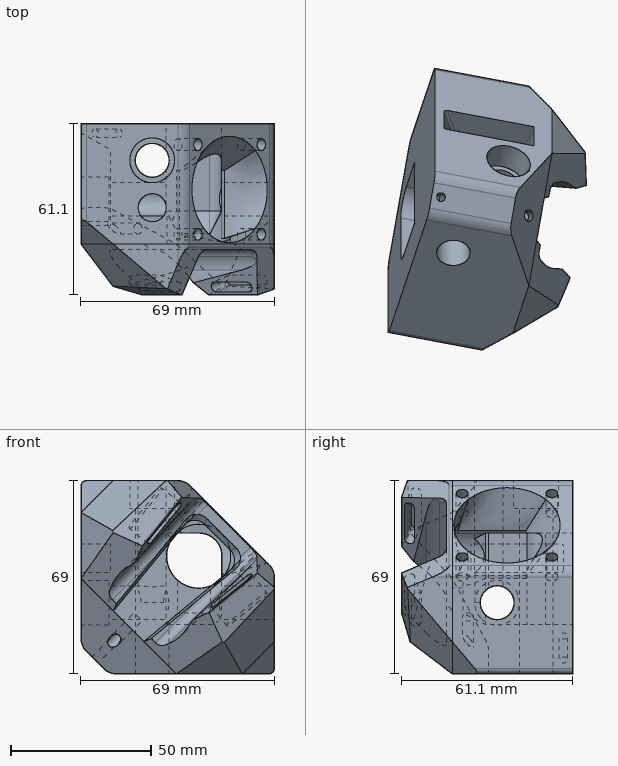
import cadquery as cq
import math

ROOT2 = math.sqrt(2)
FAR = 200.0

SIDE = 69.0
DEPTH = 61.08
SPLIT = 43.0
LOWER_CHAMFER = 10.0
UPPER_CHAMFER = 32.0
CHAMFER_ROUND = 6.0
CORNER_ROUND = 2.0
UPPER_U = (2 * SIDE - UPPER_CHAMFER) / ROOT2
LOWER_U = LOWER_CHAMFER / ROOT2

SLANT_START = 30.0
SLANT_SUM = 34.0
SIDE_LEAN = 37.2
FLANK_ANGLE = 50.0
FLANK_V = 40.7
JAW_RIDGE_U = 44.05
JAW_RIDGE_V = 27.93
JAW_RIDGE_D = 58.0
NOSE_END_START = 44.1
SLANT_U = SLANT_SUM / ROOT2
SLANT_RUN = (SLANT_U - LOWER_U) / (SPLIT - SLANT_START)
TIP_U = LOWER_U + SLANT_RUN * (DEPTH - SLANT_START)
TIP_V = 16.7
TIP_FLAT = 0.4

JAW_END_U = 70.0
JAW_TAPER = 0.104
JAW_DRAFT = 0.346
JAW_END_V = TIP_V + JAW_TAPER * (JAW_END_U - TIP_U)
FLOOR_D = 45.0
FLOOR_V = 10.8
JAW_ROOT_ROUND = 4.0
GAP_LENGTH = 100.0
GAP_OVERRUN = 1.0
GROOVE_ROOT = (13.1, 45.6)
GROOVE_WALL = (14.5, 47.5)
GROOVE_BULGE = (15.4, 49.8)
GROOVE_WIDEST = (15.5, 52.3)
GROOVE_LIP = (14.4, 58.0)

WINDOW_LOW_U = 24.0
WINDOW_LOW_V = 7.7
WINDOW_HIGH_U = 59.4
WINDOW_HIGH_V = 11.1
WINDOW_END_U = 68.9
WINDOW_ROUND = 5.0
WINDOW_SIDE_FLARE = 0.8
WINDOW_END_FLARE = 2.0

OUTLET_LENGTH = 18.5
OUTLET_WIDTH = 3.7
OUTLET_DEPTH = 9.0
OUTLET_LEAD = 2.0
OUTLET_ANGLE = 16.0
OUTLET_U = 59.0
OUTLET_D = 58.3

ROD_DIAMETER = 12.0
BEARING_DIAMETER = 16.0
BEARING_DEPTH = 10.0
ROD_OFFSET = 25.4
X_ROD_D = 27.0
Z_ROD_D = 13.1
ACCESS_DIAMETER = 10.0
ACCESS_D = 30.0

HOTEND_AXIS = 42.0
HOTEND_DIAMETER = 22.8
CAVITY_LEFT = 30.4
CAVITY_FLOOR = 17.6
CAVITY_LIMIT = 50.2
CAVITY_DEPTH = 31.2
CAVITY_TOP_ROUND = 8.0
CAVITY_LOW_ROUND = 4.4
CAVITY_TAPER = 27.0
CAVITY_TAPER_DEPTH = 8.0

SLOT_LOW = 36.2
SLOT_HIGH = 46.4
SLOT_BACK_OUTER = 3.3
SLOT_BACK_INNER = 9.3
SLOT_FRONT = 36.4
SLOT_LENGTH = 10.5
SLOT_FRONT_ROUND = 0.5
SLOT_BACK_ROUND = 1.0

FAN_D = 23.5
FAN_DIAMETER = 38.0
FAN_PITCH = 32.0
FAN_HOLE = 4.2
FAN_HOLE_DEPTH = 10.0
DUCT_END_U = 61.0
DUCT_BACK = 16.7
DUCT_FRONT = 41.0

BACK_SCREW = 3.1
BACK_SCREW_D = 3.4
SLANT_SCREW = 4.0
SLANT_SCREW_D = 37.4
SCREW_DEPTH = 12.0


def place(u, v, d):
    return cq.Vector((u - v) / ROOT2, -d, (u + v) / ROOT2)


def front_plane(d):
    """Plane at depth d, facing forward, with u and v as its axes."""
    return cq.Plane(origin=(0, -d, 0), xDir=(1, 0, 1), normal=(0, -1, 0))


def diagonal_plane(u, d):
    """Plane across the diagonal at u, facing up it, with -Y and v as its axes."""
    return cq.Plane(origin=place(u, 0, d).toTuple(), xDir=(0, -1, 0), normal=(1, 0, 1))


def trim(body, points):
    """Remove what lies outside the plane through three (u, v, d) points."""
    first, second, third = [place(*p) for p in points]
    normal = (second - first).cross(third - first)
    middle = place(UPPER_U / 2, 0, SPLIT / 2)
    if normal.dot(middle - first) > 0:
        normal = normal * -1
    outside = cq.Workplane(cq.Plane(origin=first.toTuple(), normal=normal.toTuple()))
    return body.cut(outside.rect(2 * FAR, 2 * FAR).extrude(FAR))


def trim_both(body, points):
    body = trim(body, points)
    return trim(body, [(u, -v, d) for u, v, d in points])


def outer_block():
    block = cq.Workplane("XZ").rect(SIDE, SIDE, centered=False).extrude(DEPTH)
    block = block.edges("|Y and >X and >Z").chamfer(UPPER_CHAMFER)
    block = block.edges("|Y and <X and <Z").chamfer(LOWER_CHAMFER)
    block = block.faces(">(1,0,1)").edges("|Y").fillet(CHAMFER_ROUND)
    block = block.faces("<(1,0,1)").edges("|Y").fillet(CHAMFER_ROUND)
    block = block.edges("|Y and <X and >Z").fillet(CORNER_ROUND)
    return block.edges("|Y and >X and <Z").fillet(CORNER_ROUND)


def faceted_block():
    """Outer block with the slant, flanks, leaning sides, jaw fronts and nose end cut away."""
    slant = [(LOWER_U, 0, SLANT_START), (LOWER_U, 1, SLANT_START), (SLANT_U, 0, SPLIT)]
    flank_rise = math.tan(math.radians(FLANK_ANGLE))
    flank = [(0, FLANK_V, SPLIT), (1, FLANK_V, SPLIT), (0, FLANK_V - 1, SPLIT + flank_rise)]
    lean_rise = math.tan(math.radians(90 - SIDE_LEAN))
    leaning_side = [(0, 0, SPLIT), (1, 1, SPLIT), (1 / ROOT2, -1 / ROOT2, SPLIT + lean_rise)]
    jaw_front = [
        (TIP_U, TIP_V + TIP_FLAT, DEPTH),
        (JAW_END_U, JAW_END_V + TIP_FLAT, DEPTH),
        (JAW_RIDGE_U, JAW_RIDGE_V, JAW_RIDGE_D),
    ]
    nose_end = [(UPPER_U, 0, NOSE_END_START), (UPPER_U, 1, NOSE_END_START), (JAW_END_U, 0, DEPTH)]

    block = trim(outer_block(), slant)
    block = trim_both(block, flank)
    block = trim_both(block, leaning_side)
    block = trim_both(block, jaw_front)
    return trim(block, nose_end)


def jaw_wall_v(u, d):
    return JAW_END_V + JAW_TAPER * (u - JAW_END_U) - JAW_DRAFT * (DEPTH - d)


def jaw_gap():
    """Tapered opening between the jaw walls, rounded where each wall meets the floor."""
    def section(d):
        low_v = jaw_wall_v(0, d)
        high_v = jaw_wall_v(GAP_LENGTH, d)
        return [(0, low_v), (0, -low_v), (GAP_LENGTH, -high_v), (GAP_LENGTH, high_v)]
    front = DEPTH + GAP_OVERRUN
    gap = (
        cq.Workplane(front_plane(FLOOR_D)).polyline(section(FLOOR_D)).close()
        .workplane(offset=front - FLOOR_D).polyline(section(front)).close()
        .loft(ruled=True)
    )
    return gap.faces(">Y").edges("not(#(1,0,1))").fillet(JAW_ROOT_ROUND)


def mirrored(point):
    return (-point[0], point[1])


def groove():
    """Round-rooted groove of constant section along the diagonal, undercutting the low jaw walls."""
    across = cq.Plane(origin=(0, 0, 0), xDir=(-1, 0, 1), normal=(1, 0, 1))
    return (
        cq.Workplane(across)
        .moveTo(-FLOOR_V, FLOOR_D).lineTo(FLOOR_V, FLOOR_D)
        .threePointArc(GROOVE_ROOT, GROOVE_WALL)
        .threePointArc(GROOVE_BULGE, GROOVE_WIDEST)
        .lineTo(*GROOVE_LIP).lineTo(*mirrored(GROOVE_LIP)).lineTo(*mirrored(GROOVE_WIDEST))
        .threePointArc(mirrored(GROOVE_BULGE), mirrored(GROOVE_WALL))
        .threePointArc(mirrored(GROOVE_ROOT), (-FLOOR_V, FLOOR_D))
        .close().extrude(FAR)
    )


def window_outline(side_flare, end_flare, corner_round):
    """Keyhole outline, widening up the diagonal, grown at its sides and upper end by the flares."""
    widening = (WINDOW_HIGH_V - WINDOW_LOW_V) / (WINDOW_HIGH_U - WINDOW_LOW_U)
    low_v = WINDOW_LOW_V - widening * WINDOW_LOW_U + side_flare
    end_u = WINDOW_END_U + end_flare
    end_v = low_v + widening * end_u
    corners = [(0, low_v), (0, -low_v), (end_u, -end_v), (end_u, end_v), (0, low_v)]
    return cq.Sketch().polygon(corners).vertices(">X").fillet(corner_round)


def window():
    """Opening through the nose floor, flaring forward."""
    joint_outline = window_outline(0, 0, WINDOW_ROUND)
    floor_outline = window_outline(WINDOW_SIDE_FLARE, WINDOW_END_FLARE, WINDOW_ROUND)
    return (
        cq.Workplane(front_plane(SPLIT))
        .placeSketch(joint_outline, floor_outline.moved(cq.Location(cq.Vector(0, 0, FLOOR_D - SPLIT))))
        .loft()
    )


def outlets():
    """Rounded blind outlet in each jaw wall, slanting backward into the jaw."""
    wall_v = jaw_wall_v(OUTLET_U, OUTLET_D)
    back = math.tan(math.radians(OUTLET_ANGLE))
    cutters = []
    for side in (1, -1):
        mouth = cq.Plane(
            origin=place(OUTLET_U, side * wall_v, OUTLET_D).toTuple(),
            xDir=place(1, side * JAW_TAPER, 0).toTuple(),
            normal=place(-JAW_TAPER, side, -back).toTuple(),
        )
        start = cq.Workplane(mouth).workplane(offset=-OUTLET_LEAD)
        slot = start.slot2D(OUTLET_LENGTH, OUTLET_WIDTH)
        cutters.append(slot.extrude(OUTLET_LEAD + OUTLET_DEPTH))
    return cutters


def nose(block):
    body = block.intersect(cq.Workplane("XZ", origin=(0, -SPLIT, 0)).rect(FAR, FAR).extrude(FAR))
    body = body.cut(jaw_gap()).cut(groove()).cut(window())
    for outlet in outlets():
        body = body.cut(outlet)
    return body


def rod_bores():
    """Crossing rod bores, each with a bearing counterbore, and the access hole above the X rod."""
    x_face = cq.Workplane("YZ", origin=(0, -X_ROD_D, ROD_OFFSET))
    z_face = cq.Workplane("XY", origin=(ROD_OFFSET, -Z_ROD_D, SIDE))
    access_face = cq.Workplane("XY", origin=(ROD_OFFSET, -ACCESS_D, SIDE))
    return (
        x_face.circle(ROD_DIAMETER / 2).extrude(SIDE)
        .union(x_face.circle(BEARING_DIAMETER / 2).extrude(BEARING_DEPTH))
        .union(z_face.circle(ROD_DIAMETER / 2).extrude(-SIDE))
        .union(z_face.circle(BEARING_DIAMETER / 2).extrude(-BEARING_DEPTH))
        .union(access_face.circle(ACCESS_DIAMETER / 2).extrude(ROD_OFFSET - SIDE))
    )


def hot_end_cavity():
    """Rounded pocket from the back, narrowing ahead of CAVITY_DEPTH, and the round hole to the front."""
    outline = (
        cq.Sketch()
        .polygon([
            (CAVITY_LEFT, CAVITY_FLOOR), (CAVITY_LIMIT, CAVITY_FLOOR), (CAVITY_LIMIT, CAVITY_LIMIT),
            (CAVITY_LEFT, CAVITY_LIMIT), (CAVITY_LEFT, CAVITY_FLOOR),
        ])
        .vertices(">X and >Y").fillet(CAVITY_TOP_ROUND)
        .reset().vertices(">X").vertices("<Y").fillet(CAVITY_LOW_ROUND)
    )
    pocket = cq.Workplane("XZ").placeSketch(outline).extrude(CAVITY_DEPTH)
    narrowing = (
        cq.Workplane("XZ", origin=(0, -CAVITY_DEPTH, 0)).placeSketch(outline)
        .extrude(CAVITY_TAPER_DEPTH, taper=CAVITY_TAPER)
    )
    hole = (
        cq.Workplane("XZ", origin=(0, -DUCT_BACK, 0)).center(HOTEND_AXIS, HOTEND_AXIS)
        .circle(HOTEND_DIAMETER / 2).extrude(SPLIT - DUCT_BACK)
    )
    return pocket.union(narrowing).union(hole)


def side_slot():
    """Blind slot in the -X side with a sloping back end."""
    slot = (
        cq.Workplane("XY", origin=(0, 0, SLOT_LOW))
        .polyline([
            (0, -SLOT_BACK_OUTER), (SLOT_LENGTH, -SLOT_BACK_INNER),
            (SLOT_LENGTH, -SLOT_FRONT), (0, -SLOT_FRONT),
        ])
        .close().extrude(SLOT_HIGH - SLOT_LOW)
    )
    slot = slot.edges("|X").fillet(SLOT_FRONT_ROUND)
    slope = cq.Vector(SLOT_LENGTH, SLOT_BACK_OUTER - SLOT_BACK_INNER, 0)
    return slot.edges(cq.selectors.ParallelDirSelector(slope)).fillet(SLOT_BACK_ROUND)


def fan_mount():
    """Duct from the round fan opening to the hot end, and the four fan screw holes."""
    face = cq.Workplane(diagonal_plane(UPPER_U, FAN_D))
    duct_length = UPPER_U - DUCT_END_U
    duct = (
        face.circle(FAN_DIAMETER / 2)
        .workplane(offset=-duct_length).center((DUCT_BACK + DUCT_FRONT) / 2 - FAN_D, 0)
        .rect(DUCT_FRONT - DUCT_BACK, HOTEND_DIAMETER).loft()
    )
    mouth = (
        cq.Workplane(diagonal_plane(DUCT_END_U, (DUCT_BACK + DUCT_FRONT) / 2))
        .rect(DUCT_FRONT - DUCT_BACK, HOTEND_DIAMETER).extrude(-(DUCT_END_U - HOTEND_AXIS * ROOT2))
    )
    holes = face.rect(FAN_PITCH, FAN_PITCH, forConstruction=True).vertices()
    return [duct, mouth, holes.circle(FAN_HOLE / 2).extrude(-FAN_HOLE_DEPTH)]


def diagonal_screw(diameter, u, d):
    """Blind hole up the diagonal from the surface at u."""
    return cq.Workplane(diagonal_plane(0, d)).circle(diameter / 2).extrude(u + SCREW_DEPTH)


def housing(block):
    body = block.intersect(cq.Workplane("XZ").rect(FAR, FAR).extrude(SPLIT))
    body = body.cut(rod_bores()).cut(hot_end_cavity()).cut(side_slot())
    for part in fan_mount():
        body = body.cut(part)
    slant_u = LOWER_U + SLANT_RUN * (SLANT_SCREW_D - SLANT_START)
    body = body.cut(diagonal_screw(BACK_SCREW, LOWER_U, BACK_SCREW_D))
    return body.cut(diagonal_screw(SLANT_SCREW, slant_u, SLANT_SCREW_D))


block = faceted_block()
housing_body = housing(block)
nose_body = nose(block)
result = cq.Compound.makeCompound([housing_body.val(), nose_body.val()])